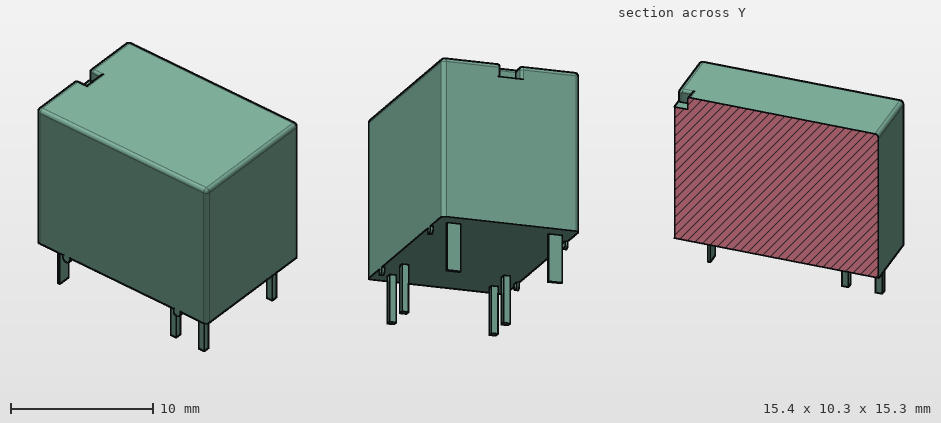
import cadquery as cq

case_length = 15.4
case_width = 10.3
case_height = 11.8
case_edge_radius = 0.3

notch_length = 1.0
notch_width = 1.5
notch_depth = 1.0
notch_edge_radius = 0.2

tab_width = 0.6
tab_drop = 0.5
tab_thickness = 0.2
tab_x = 5.0

pin_pitch = 2.54
pin_drop = 3.5
pin_row_y = 1.5 * pin_pitch
coil_pin_x = -2.5 * pin_pitch
coil_pin_width = 1.0
coil_pin_thickness = 0.2
contact_pin_positions_x = (1.5 * pin_pitch, 2.5 * pin_pitch)
contact_pin_width = 0.5

root_overlap = 0.5

selection_margin = 0.01


def make_case():
    """Block with rounded vertical and top edges and a sharp underside."""
    block = cq.Workplane("XY").box(case_length, case_width, case_height, centered=(True, True, False))
    return block.edges("|Z or >Z").fillet(case_edge_radius)


def cut_notch(case):
    """Cut the notch and round its rim; the floor edges and inner corners stay sharp."""
    side_x = -case_length / 2
    floor_z = case_height - notch_depth
    cutter = cq.Workplane("XY").box(2 * notch_length, notch_width, 2 * notch_depth)
    cutter = cutter.translate((side_x, 0, case_height))
    notched = case.cut(cutter)

    back_x = side_x + notch_length
    side_y = notch_width / 2
    rim_box = cq.selectors.BoxSelector(
        (side_x - selection_margin, -side_y - selection_margin, floor_z + selection_margin),
        (back_x + selection_margin, side_y + selection_margin, case_height + selection_margin),
    )
    inner_corners = cq.selectors.BoxSelector(
        (back_x - selection_margin, -side_y - selection_margin, floor_z),
        (back_x + selection_margin, side_y + selection_margin, case_height - selection_margin),
    )
    return notched.edges(rim_box - inner_corners).fillet(notch_edge_radius)


def make_tab(x, side):
    """Tab with a half-round lower end, flush with the long face on the given side of Y."""
    radius = tab_width / 2
    arc_centre_z = radius - tab_drop
    outline = (
        cq.Workplane("XZ")
        .moveTo(x - radius, root_overlap)
        .lineTo(x - radius, arc_centre_z)
        .threePointArc((x, -tab_drop), (x + radius, arc_centre_z))
        .lineTo(x + radius, root_overlap)
        .close()
    )
    centre_y = side * (case_width - tab_thickness) / 2
    return outline.extrude(tab_thickness / 2, both=True).translate((0, centre_y, 0))


def make_pin(x, y, size_x, size_y):
    """Rectangular terminal pin hanging below the case."""
    pin = cq.Workplane("XY").box(size_x, size_y, pin_drop + root_overlap, centered=(True, True, False))
    return pin.translate((x, y, -pin_drop))


result = cut_notch(make_case())
for side in (-1, 1):
    for tab_centre_x in (-tab_x, tab_x):
        result = result.union(make_tab(tab_centre_x, side))

    row_y = side * pin_row_y
    result = result.union(make_pin(coil_pin_x, row_y, coil_pin_thickness, coil_pin_width))
    for contact_x in contact_pin_positions_x:
        result = result.union(make_pin(contact_x, row_y, contact_pin_width, contact_pin_width))